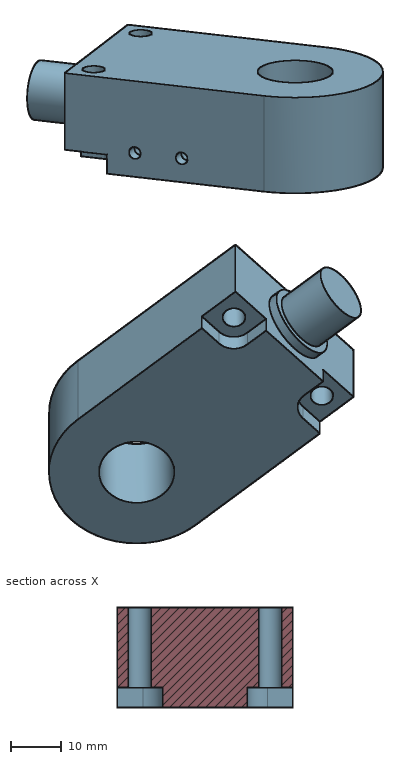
import cadquery as cq

TOTAL_LENGTH = 72.5
HOUSING_WIDTH = 35.0
HOUSING_HEIGHT = 20.0
END_RADIUS = HOUSING_WIDTH / 2
BORE_DIAMETER = 15.0

MOUNT_HOLE_DIAMETER = 4.5
MOUNT_HOLE_INSET = 4.5
POCKET_SIZE = 9.05
POCKET_RADIUS = 4.0
POCKET_HEIGHT = 4.0

SIDE_HOLE_DIAMETER = 2.5
SIDE_HOLE_OFFSETS = (15.0, 25.0)
SIDE_HOLE_HEIGHT = 5.0
SIDE_HOLE_DEPTH = 3.0
SIDE_HOLE_TIP_DEPTH = 0.7

FLANGE_DIAMETER = 15.0
FLANGE_THICKNESS = 1.95
STUB_DIAMETER = 12.0
STUB_LENGTH = 10.5

HOUSING_BACK_X = STUB_LENGTH + FLANGE_THICKNESS
BORE_X = TOTAL_LENGTH - END_RADIUS
HALF_WIDTH = HOUSING_WIDTH / 2
AXIS_Z = HOUSING_HEIGHT / 2


def make_block():
    """Block along X whose +X end is a half circle around the bore."""
    return (
        cq.Workplane("XY")
        .moveTo(HOUSING_BACK_X, -HALF_WIDTH)
        .lineTo(BORE_X, -HALF_WIDTH)
        .threePointArc((TOTAL_LENGTH, 0), (BORE_X, HALF_WIDTH))
        .lineTo(HOUSING_BACK_X, HALF_WIDTH)
        .close()
        .extrude(HOUSING_HEIGHT)
    )


def make_vertical_hole(x, y, diameter):
    """Cutter through the full height of the housing."""
    return cq.Workplane("XY").center(x, y).circle(diameter / 2).extrude(HOUSING_HEIGHT)


def make_corner_pocket(side):
    """Cutter for a bottom corner, side = -1 or 1 along Y, with its inner corner rounded."""
    center_x = HOUSING_BACK_X + POCKET_SIZE / 2
    center_y = side * (HALF_WIDTH - POCKET_SIZE / 2)
    inner_corner = ">X and <Y" if side > 0 else ">X and >Y"
    return (
        cq.Workplane("XY")
        .center(center_x, center_y)
        .rect(POCKET_SIZE, POCKET_SIZE)
        .extrude(POCKET_HEIGHT)
        .edges("|Z")
        .edges(inner_corner)
        .fillet(POCKET_RADIUS)
    )


def make_side_hole(offset):
    """Cutter for a blind hole going in along +Y and ending in a cone."""
    radius = SIDE_HOLE_DIAMETER / 2
    profile = [
        (0, 0),
        (radius, 0),
        (radius, SIDE_HOLE_DEPTH),
        (0, SIDE_HOLE_DEPTH + SIDE_HOLE_TIP_DEPTH),
    ]
    return (
        cq.Workplane("XY")
        .polyline(profile)
        .close()
        .revolve(360, (0, 0, 0), (0, 1, 0))
        .translate((HOUSING_BACK_X + offset, -HALF_WIDTH, SIDE_HOLE_HEIGHT))
    )


def make_housing():
    body = make_block().cut(make_vertical_hole(BORE_X, 0, BORE_DIAMETER))
    for side in (-1, 1):
        hole_x = HOUSING_BACK_X + MOUNT_HOLE_INSET
        hole_y = side * (HALF_WIDTH - MOUNT_HOLE_INSET)
        body = body.cut(make_vertical_hole(hole_x, hole_y, MOUNT_HOLE_DIAMETER))
        body = body.cut(make_corner_pocket(side))
    for offset in SIDE_HOLE_OFFSETS:
        body = body.cut(make_side_hole(offset))
    return body


def make_connector():
    """Round stub and flange along X, with the flange flat against the housing."""
    return (
        cq.Workplane("YZ")
        .center(0, AXIS_Z)
        .circle(STUB_DIAMETER / 2)
        .extrude(STUB_LENGTH)
        .faces(">X")
        .workplane()
        .circle(FLANGE_DIAMETER / 2)
        .extrude(FLANGE_THICKNESS)
    )


housing = make_housing()
connector = make_connector()

result = cq.Compound.makeCompound([housing.val(), connector.val()])